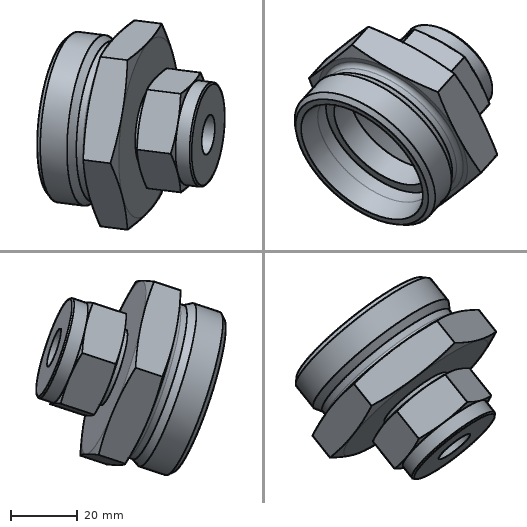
import cadquery as cq
import math


HEX_SIDES = 6

thread_end_x = 10.05
groove_start_x = 12.5
body_hex_start_x = 16.05
body_hex_end_x = 27.0
nut_start_x = 29.1
nut_end_x = 41.2
total_length = 46.2

thread_radius = 26.0
thread_chamfer_length = 1.5
groove_radius = 24.5
groove_fillet = 1.45
body_hex_flats = 55.0
nut_flats = 32.0
neck_radius = 12.0
collar_radius = 15.95
collar_chamfer = 0.5
hex_chamfer_angle = 15

mouth_radius = 22.5
socket_radius = 21.1
mouth_half_angle = 12
socket_depth = 11.0
large_bore_radius = 18.05
large_bore_depth = 19.05
small_bore_radius = 6.05
funnel_half_angle = 60


def revolve_about_x(profile):
    """Turn a closed (x, radius) profile a full circle about the X axis."""
    return profile.close().revolve(360, (0, 0, 0), (1, 0, 0))


def chamfered_hexagon(start_x, end_x, flats, face_radius):
    """Hexagon with flats facing up and down, its corners turned down to round end faces."""
    length = end_x - start_x
    corner_radius = flats / 2 / math.cos(math.pi / HEX_SIDES)
    corner_drop = (corner_radius - face_radius) * math.tan(math.radians(hex_chamfer_angle))
    prism = (
        cq.Workplane("YZ", origin=(start_x, 0, 0))
        .polygon(HEX_SIDES, 2 * corner_radius)
        .extrude(length)
    )
    envelope = revolve_about_x(
        cq.Workplane("XY")
        .moveTo(start_x, 0)
        .lineTo(start_x, face_radius)
        .lineTo(start_x + corner_drop, corner_radius)
        .lineTo(end_x - corner_drop, corner_radius)
        .lineTo(end_x, face_radius)
        .lineTo(end_x, 0)
    )
    return prism.intersect(envelope)


def turned_body():
    """Threaded end with its relief groove, the neck and the end collar."""
    fillet_start_x = body_hex_start_x - groove_fillet
    return revolve_about_x(
        cq.Workplane("XY")
        .moveTo(0, 0)
        .lineTo(0, groove_radius)
        .lineTo(thread_chamfer_length, thread_radius)
        .lineTo(thread_end_x, thread_radius)
        .lineTo(groove_start_x, groove_radius)
        .lineTo(fillet_start_x, groove_radius)
        .radiusArc((body_hex_start_x, groove_radius + groove_fillet), -groove_fillet)
        .lineTo(body_hex_end_x, groove_radius + groove_fillet)
        .lineTo(body_hex_end_x, neck_radius)
        .lineTo(nut_start_x, neck_radius)
        .lineTo(nut_start_x, collar_radius)
        .lineTo(total_length - collar_chamfer, collar_radius)
        .lineTo(total_length, collar_radius - collar_chamfer)
        .lineTo(total_length, 0)
    )


def stepped_bore():
    """Tapered mouth, tube socket, large bore, funnel and small through bore."""
    mouth_length = (mouth_radius - socket_radius) / math.tan(math.radians(mouth_half_angle))
    funnel_length = (large_bore_radius - small_bore_radius) / math.tan(math.radians(funnel_half_angle))
    return revolve_about_x(
        cq.Workplane("XY")
        .moveTo(0, 0)
        .lineTo(0, mouth_radius)
        .lineTo(mouth_length, socket_radius)
        .lineTo(socket_depth, socket_radius)
        .lineTo(socket_depth, large_bore_radius)
        .lineTo(large_bore_depth, large_bore_radius)
        .lineTo(large_bore_depth + funnel_length, small_bore_radius)
        .lineTo(total_length, small_bore_radius)
        .lineTo(total_length, 0)
    )


body_hexagon = chamfered_hexagon(body_hex_start_x, body_hex_end_x, body_hex_flats, body_hex_flats / 2)
nut = chamfered_hexagon(nut_start_x, nut_end_x, nut_flats, collar_radius)
result = turned_body().union(body_hexagon).union(nut).cut(stepped_bore())